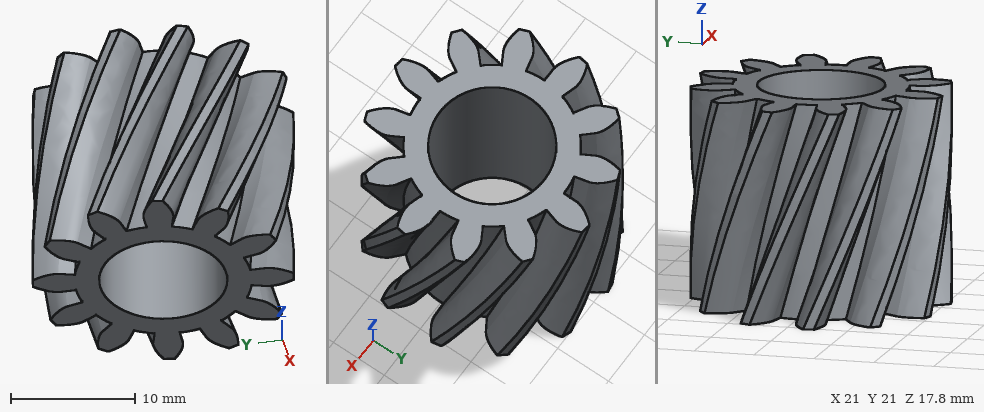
import cadquery as cq
import math

module = 1.5
tooth_count = 12
dedendum_factor = 1.25
pressure_angle = math.radians(20)
helix_angle = math.radians(20)
face_width = 17.75
bore_radius = 5.15
bottom_phase = math.radians(10)
tooth_thinning = 0.05
flank_point_count = 5

pitch_radius = module * tooth_count / 2
tip_radius = pitch_radius + module
root_radius = pitch_radius - dedendum_factor * module
base_radius = pitch_radius * math.cos(pressure_angle)
angular_pitch = 2 * math.pi / tooth_count
twist = math.degrees(face_width * math.tan(helix_angle) / pitch_radius)


def involute(angle):
    """Polar angle unwound by an involute at the given pressure angle."""
    return math.tan(angle) - angle


half_angle_at_pitch = angular_pitch / 4 - tooth_thinning / (2 * pitch_radius)
half_angle_at_base = half_angle_at_pitch + involute(pressure_angle)


def polar(radius, angle):
    """Cartesian point at a radius and a polar angle."""
    return (radius * math.cos(angle), radius * math.sin(angle))


def flank_half_angle(radius):
    """Half of the angle spanned by a tooth at a radius on its involute."""
    return half_angle_at_base - involute(math.acos(base_radius / radius))


def flank_radii():
    """Evenly spaced radii along the involute, from the base circle to the tip."""
    step = (tip_radius - base_radius) / (flank_point_count - 1)
    return [base_radius + step * i for i in range(flank_point_count)]


def gear_outline(phase):
    """Closed transverse outline, walked counter-clockwise tooth by tooth."""
    outline = cq.Workplane("XY").moveTo(*polar(root_radius, phase - half_angle_at_base))
    radii = flank_radii()
    for tooth in range(tooth_count):
        center = phase + tooth * angular_pitch
        rising = [polar(r, center - flank_half_angle(r)) for r in radii]
        falling = [polar(r, center + flank_half_angle(r)) for r in reversed(radii)]
        next_center = center + angular_pitch
        outline = (
            outline.lineTo(*rising[0])
            .spline(rising[1:], includeCurrent=True)
            .threePointArc(polar(tip_radius, center), falling[0])
            .spline(falling[1:], includeCurrent=True)
            .lineTo(*polar(root_radius, center + half_angle_at_base))
            .threePointArc(
                polar(root_radius, center + angular_pitch / 2),
                polar(root_radius, next_center - half_angle_at_base),
            )
        )
    return outline.close()


def toothed_body():
    """Gear outline swept upward along the helix."""
    return gear_outline(bottom_phase).twistExtrude(face_width, twist)


def bore():
    """Plain round hole through the full face width."""
    return cq.Workplane("XY").circle(bore_radius).extrude(face_width)


result = toothed_body().cut(bore())